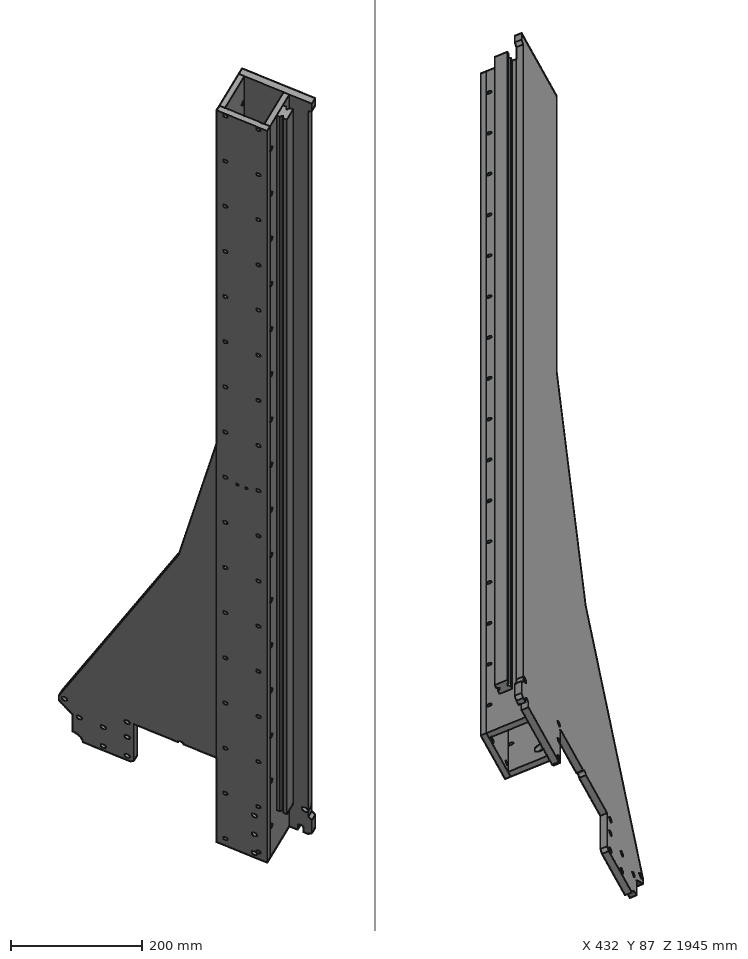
import cadquery as cq


height = 1945.0
plate_thickness = 12.0
column_width = 86.5
column_depth = 75.0
wall = 10.0
column_side = column_width / 2
side_depth = column_depth - wall

plate_left = -350.0
plate_right = 82.0
edge_relief = 5.0
relief_bottom = 47.0
relief_top = 1920.0
gusset_top = 1135.0
gusset_knee = (-145.0, 601.0)
toe_top = 97.0
toe_bottom = 85.0
foot_left = -327.0
foot_inner = -222.0
foot_notch_radius = 18.0
corner_chamfer = 5.0
arch_height = 103.0
arch_right = -56.0

joint_hole = 7.4
joint_pitch = 120.0
front_row_count = 17
top_joint_inset = 5.0
front_hole_x = 28.2
side_hole_inset = 4.9
front_first_row = height - top_joint_inset - (front_row_count - 1) * joint_pitch
side_first_row = front_first_row + joint_pitch / 2
front_rows = [front_first_row + i * joint_pitch for i in range(front_row_count)]
side_rows = [side_first_row + i * joint_pitch for i in range(front_row_count - 1)]

middle_hole = 4.3
middle_hole_x = 8.0
cable_hole = 20.0
cable_hole_y = -12.0
cable_hole_z = 33.0
access_hole = 9.1
access_hole_x = 21.0

foot_hole = 9.1
foot_row_bottom = 12.0
foot_row_pitch = 50.0
foot_rows = [foot_row_bottom + i * foot_row_pitch for i in range(3)]
left_foot_first = -315.0
left_foot_pitch = 40.0
left_foot_columns = [left_foot_first + i * left_foot_pitch for i in range(3)]
column_foot_x = -50.0
arch_corner_z = 101.0
arch_notch_x = -142.0
toe_hole_at = (-340.0, 95.0)
edge_hole = 11.0
edge_hole_x = 70.0
edge_slot_x = 62.0
edge_slot_width = 10.0

rail_bottom = 100.0
rail_height = 18.0
rail_width = 21.0
rail_center_y = -33.0
rail_groove = 4.0
rail_land = 5.0
rail_slope = 2.0


def holes_along_y(points, diameter, front_y, depth):
    """Drills running toward +Y from front_y, at (x, z) points."""
    plane = cq.Workplane("XZ", origin=(0, front_y, 0))
    return plane.pushPoints(points).circle(diameter / 2).extrude(-depth)


def holes_along_x(points, diameter, left_x, depth):
    """Drills running toward +X from left_x, at (y, z) points."""
    plane = cq.Workplane("YZ", origin=(left_x, 0, 0))
    return plane.pushPoints(points).circle(diameter / 2).extrude(depth)


def back_plate_blank():
    narrow_right = plate_right - edge_relief
    toe_shoulder = toe_bottom - (foot_left - plate_left)
    outline = (
        cq.Workplane("XZ")
        .moveTo(-column_side, height)
        .lineTo(-column_side, gusset_top)
        .lineTo(*gusset_knee)
        .lineTo(plate_left, toe_top)
        .lineTo(plate_left, toe_bottom)
        .lineTo(foot_left, toe_shoulder)
        .lineTo(foot_left, foot_notch_radius)
        .radiusArc((foot_left + foot_notch_radius, 0), foot_notch_radius)
        .lineTo(foot_inner - corner_chamfer, 0)
        .lineTo(foot_inner, corner_chamfer)
        .lineTo(foot_inner, arch_height)
        .lineTo(arch_right, arch_height)
        .lineTo(arch_right, corner_chamfer)
        .lineTo(arch_right + corner_chamfer, 0)
        .lineTo(plate_right - corner_chamfer, 0)
        .lineTo(plate_right, corner_chamfer)
        .lineTo(plate_right, relief_bottom - edge_relief)
        .lineTo(narrow_right, relief_bottom)
        .lineTo(narrow_right, relief_top)
        .lineTo(plate_right, relief_top + edge_relief)
        .lineTo(plate_right, height)
        .close()
    )
    return outline.extrude(-plate_thickness)


def make_back_plate():
    bottom_row, middle_row = foot_rows[:2]
    left_foot = [(x, middle_row) for x in left_foot_columns]
    left_foot += [(x, bottom_row) for x in left_foot_columns[1:]]
    column_foot = [(column_foot_x, z) for z in foot_rows]
    arch_holes = [(left_foot_columns[-1], arch_corner_z), (arch_notch_x, arch_height)]
    small_holes = left_foot + column_foot + arch_holes + [toe_hole_at]

    slot_end = [(edge_slot_x, bottom_row)]
    slot = cq.Workplane("XY").box(edge_slot_width, plate_thickness, bottom_row, centered=(True, False, False))
    return (
        back_plate_blank()
        .cut(holes_along_y(small_holes, foot_hole, 0, plate_thickness))
        .cut(holes_along_y([(edge_hole_x, middle_row)], edge_hole, 0, plate_thickness))
        .cut(holes_along_y(slot_end, edge_slot_width, 0, plate_thickness))
        .cut(slot.translate((edge_slot_x, 0, 0)))
    )


def make_side_plate(left_x):
    """Side plate between the back and front plates, with a screw row along both edges."""
    plate = cq.Workplane("XY").box(wall, side_depth, height, centered=False)
    edges = (-side_hole_inset, side_hole_inset - side_depth)
    joints = [(y, z) for y in edges for z in side_rows]
    plate = plate.translate((left_x, -side_depth, 0))
    return plate.cut(holes_along_x(joints, joint_hole, left_x, wall))


def make_left_plate():
    left_x = -column_side
    cable_entry = holes_along_x([(cable_hole_y, cable_hole_z)], cable_hole, left_x, wall)
    return make_side_plate(left_x).cut(cable_entry)


def make_right_plate():
    return make_side_plate(column_side - wall)


def make_front_plate():
    plate = cq.Workplane("XY").box(column_width, wall, height, centered=(True, False, False))
    joints = [(x, z) for x in (-front_hole_x, front_hole_x) for z in front_rows]
    access = [(access_hole_x, z) for z in foot_rows]
    middle = [(x, height / 2) for x in (-middle_hole_x, middle_hole_x)]
    return (
        plate.translate((0, -column_depth, 0))
        .cut(holes_along_y(joints, joint_hole, -column_depth, wall))
        .cut(holes_along_y(access, access_hole, -column_depth, wall))
        .cut(holes_along_y(middle, middle_hole, -column_depth, wall))
    )


def make_rail():
    """Rail with a groove along both flanks, standing on the outside of the right plate."""
    half_width = rail_width / 2
    waist = half_width - rail_groove
    base = column_side
    top = base + rail_height
    upper_flank = [
        (base, half_width),
        (base + rail_land, half_width),
        (base + rail_land + rail_slope, waist),
        (top - rail_land - rail_slope, waist),
        (top - rail_land, half_width),
        (top, half_width),
    ]
    lower_flank = [(x, -y) for x, y in reversed(upper_flank)]
    profile = cq.Workplane("XY", origin=(0, rail_center_y, rail_bottom))
    return profile.polyline(upper_flank + lower_flank).close().extrude(height - rail_bottom)


back_plate = make_back_plate()
left_plate = make_left_plate()
right_plate = make_right_plate()
front_plate = make_front_plate()
rail = make_rail()

result = cq.Compound.makeCompound(
    [back_plate.val(), left_plate.val(), right_plate.val(), front_plate.val(), rail.val()]
)